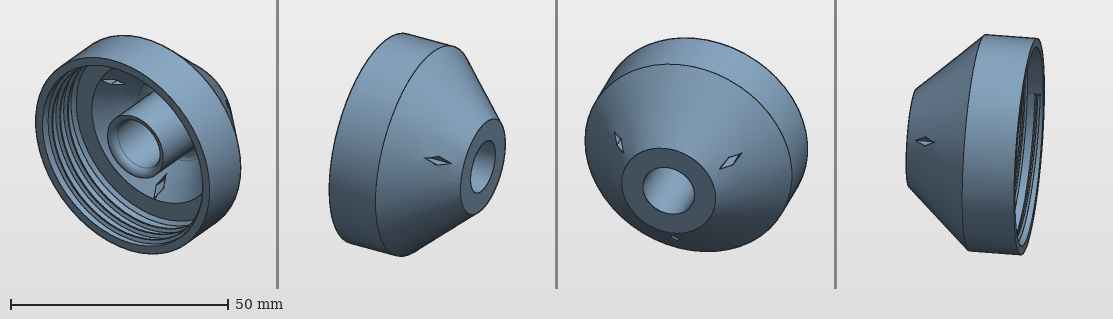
import cadquery as cq
import math

length = 27.0
rim_radius = 25.0
skirt_length = 12.0
nose_radius = 11.35

socket_radius = 23.0
thread_inner_radius = 22.25
socket_depth = 12.0
seat_taper_length = 1.0
thread_pitch = 3.0
thread_turns = 3.0
thread_start = 1.3
thread_root_width = 1.4
thread_crest_width = 0.3
thread_overlap = 0.15

hollow_radius = 17.75
tube_radius = 8.0
bore_radius = 6.25
tube_end = 4.9
base_fillet = 1.5

vent_count = 3
vent_inner_radius = 13.4
vent_outer_radius = hollow_radius
vent_width = 2.05


def make_body():
    """Revolve the half section; the hollow runs parallel to the outer cone."""
    cone_angle = math.atan2(rim_radius - nose_radius, length - skirt_length)
    corner_y = socket_depth + (hollow_radius - tube_radius) / math.tan(cone_angle)
    tangent_length = base_fillet / math.tan(cone_angle / 2)
    cone_tangent = (
        tube_radius + tangent_length * math.sin(cone_angle),
        corner_y - tangent_length * math.cos(cone_angle),
    )
    tube_tangent = (tube_radius, corner_y - tangent_length)
    fillet_middle = (
        tube_radius + base_fillet * (1 - math.sin(cone_angle / 2)),
        tube_tangent[1] + base_fillet * math.cos(cone_angle / 2),
    )
    mouth_radius = tube_radius - bore_radius
    mouth_middle = (
        tube_radius - mouth_radius * math.sin(math.pi / 4),
        tube_end + mouth_radius * (1 - math.cos(math.pi / 4)),
    )
    section = (
        cq.Workplane("XY")
        .moveTo(socket_radius, 0)
        .lineTo(rim_radius, 0)
        .lineTo(rim_radius, skirt_length)
        .lineTo(nose_radius, length)
        .lineTo(bore_radius, length)
        .lineTo(bore_radius, tube_end + mouth_radius)
        .threePointArc(mouth_middle, (tube_radius, tube_end))
        .lineTo(*tube_tangent)
        .threePointArc(fillet_middle, cone_tangent)
        .lineTo(hollow_radius, socket_depth)
        .lineTo(thread_inner_radius, socket_depth)
        .lineTo(socket_radius, socket_depth - seat_taper_length)
        .close()
    )
    return section.revolve(360, (0, 0, 0), (0, 1, 0))


def make_thread():
    """Sweep a trapezoid ridge along a helix, then lay its axis along Y."""
    root_radius = socket_radius + thread_overlap
    helix = cq.Wire.makeHelix(thread_pitch, thread_pitch * thread_turns, root_radius)
    ridge = (
        cq.Workplane("XZ")
        .polyline([
            (root_radius, -thread_root_width / 2),
            (thread_inner_radius, -thread_crest_width / 2),
            (thread_inner_radius, thread_crest_width / 2),
            (root_radius, thread_root_width / 2),
        ])
        .close()
        .sweep(cq.Workplane(obj=helix), isFrenet=True)
    )
    return ridge.rotate((0, 0, 0), (1, 0, 0), -90).translate((0, thread_start, 0))


def make_vents():
    """Diamond prisms along Y, the first one straight below the axis."""
    middle = -(vent_inner_radius + vent_outer_radius) / 2
    prism = (
        cq.Workplane("XZ")
        .polyline([
            (0, -vent_inner_radius),
            (vent_width / 2, middle),
            (0, -vent_outer_radius),
            (-vent_width / 2, middle),
        ])
        .close()
        .extrude(-length)
    )
    vents = cq.Workplane("XY")
    for index in range(vent_count):
        vents = vents.add(prism.rotate((0, 0, 0), (0, 1, 0), index * 360 / vent_count))
    return vents.combine()


result = make_body().union(make_thread()).cut(make_vents())